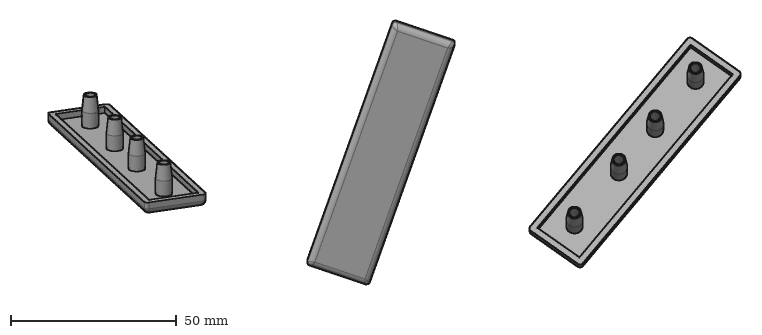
import cadquery as cq

length = 80.0
width = 20.0
plate_height = 4.0
corner_radius = 1.0
underside_radius = plate_height / 2

rim_width = 2.0
pocket_depth = 2.0
floor_height = plate_height - pocket_depth

total_height = 12.0
taper_height = 5.0
peg_diameter = 5.0
tip_diameter = 4.0
bore_diameter = 3.0
peg_positions = [-30.0, -10.0, 8.0, 30.0]


def make_plate():
    plate = (
        cq.Workplane("XY")
        .box(length, width, plate_height, centered=(True, True, False))
        .edges("|Z")
        .fillet(corner_radius)
        .faces("<Z")
        .edges()
        .fillet(underside_radius)
    )
    pocket = (
        cq.Workplane("XY")
        .workplane(offset=floor_height)
        .rect(length - 2 * rim_width, width - 2 * rim_width)
        .extrude(pocket_depth)
    )
    return plate.cut(pocket)


def make_peg(x):
    """Straight base, tapered tip and a bore that reaches the pocket floor."""
    profile = [
        (bore_diameter / 2, floor_height),
        (peg_diameter / 2, floor_height),
        (peg_diameter / 2, total_height - taper_height),
        (tip_diameter / 2, total_height),
        (bore_diameter / 2, total_height),
    ]
    peg = cq.Workplane("XZ").polyline(profile).close().revolve(360, (0, 0, 0), (0, 1, 0))
    return peg.translate((x, 0, 0))


result = make_plate()
for peg_x in peg_positions:
    result = result.union(make_peg(peg_x))